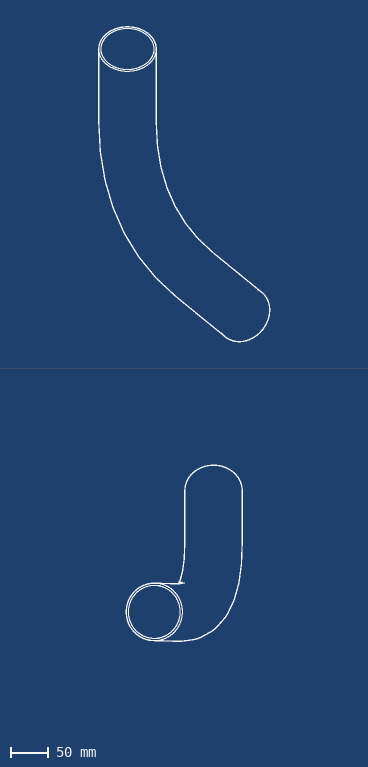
import cadquery as cq
import math

outer_diameter = 76.2
inner_diameter = 70.1

leg_length = 152.4
bend_radius = 762.0
bend_angle = 30.0


def bend_point(angle):
    """Centreline point (Y, Z) on the bend, at an angle in degrees from its upper end."""
    turn = math.radians(angle)
    return bend_radius * (1 - math.cos(turn)), -bend_radius * math.sin(turn)


def make_centreline():
    """Path in the YZ plane, from the upper end down and out toward +Y."""
    bend_end_y, bend_end_z = bend_point(bend_angle)
    lean = math.radians(bend_angle)
    lower_end = (
        bend_end_y + leg_length * math.sin(lean),
        bend_end_z - leg_length * math.cos(lean),
    )
    return (
        cq.Workplane("YZ")
        .moveTo(0, leg_length)
        .lineTo(*bend_point(0))
        .threePointArc(bend_point(bend_angle / 2), (bend_end_y, bend_end_z))
        .lineTo(*lower_end)
    )


def make_tube():
    """Ring section at the upper end, swept along the centreline."""
    return (
        cq.Workplane("XY")
        .workplane(offset=leg_length)
        .circle(outer_diameter / 2)
        .circle(inner_diameter / 2)
        .sweep(make_centreline())
    )


result = make_tube()